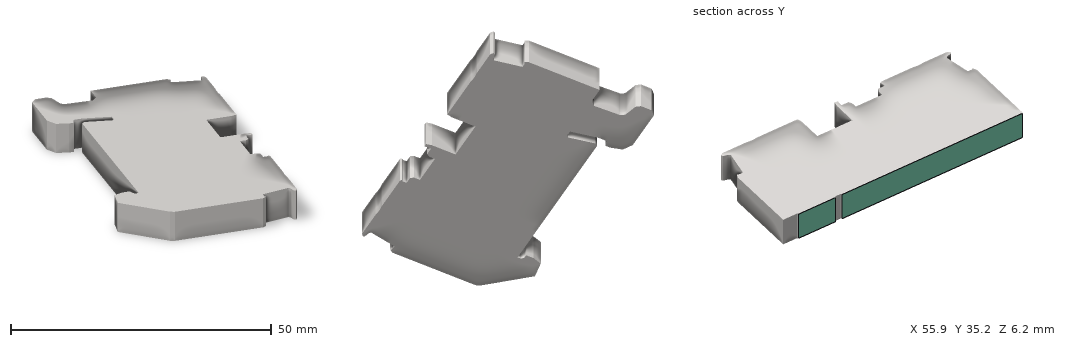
import cadquery as cq

LENGTH = 55.89
HEIGHT = 35.2
THICKNESS = 6.2
HALF = LENGTH / 2

SHOULDER_Y = 28.2
SHOULDER_CORNER_Y = SHOULDER_Y - 0.5
BUMP_HEIGHT = 0.25
BUMP_PEAK_X = HALF - 0.4
BUMP_INNER_X = HALF - 0.75
NECK_FOOT_X = 26.3
NECK_HEAD_X = 25.25
NECK_HEAD_Y = 33.8
NECK_CHAMFER = 0.3
HOOK_TIP_X = 26.85
HOOK_TIP_Y = 34.8
HOOK_UNDERSIDE_X = 26.7
HOOK_UNDERSIDE_Y = 34.4
HOOK_TOP_X = 26.3

DENT_X = 19.47
DENT_WIDTH = 2.6
DENT_DEPTH = 0.12

NOTCH_LEFT = -8.4
NOTCH_RIGHT = -0.22
NOTCH_FLOOR_Y = 28.95
NOTCH_TAPER_Y = HEIGHT - 1.1
NOTCH_TAPER_X = 0.25

POST_TOP_RIGHT = 0.72
POST_BASE_RIGHT = 0.62
STEP_Y = 33.8
STEP_RIGHT = 10.68
RECESS_LEFT = 2.65
RECESS_RIGHT = 8.8
RECESS_FLOOR_Y = 31.9
RECESS_CHAMFER_X = 0.42
RECESS_CHAMFER_Y = 0.65
LIP_OVERHANG = 0.22
LIP_TIP_Y = HEIGHT - 0.3
LIP_ROOT_Y = HEIGHT - 0.55

UNDERSIDE_Y = 5.95

RIGHT_WALL_END_Y = 9.7
SLOPE_TOP = (27.6, 8.85)
SLOPE_BOTTOM = (20.55, 0.7)
CLAW_TOE = (17.13, 1.25)
CLAW_X = 16.53
CLAW_BOTTOM_Y = 3.11
CLAW_TOP_Y = 4.65
CLAW_RELIEF = (17.2, 4.75)
RIGHT_SEAT_X = 17.78
RIGHT_SEAT_Y = 5.2

SLOT_MOUTH_RIGHT_X = -14.85
SLOT_MOUTH_CORNER = (-15.3, 6.55)
SLOT_TOP_CORNER = (-14.23, 11.9)
SLOT_TOP_RIGHT_X = -14.54
SLOT_TOP_LEFT_X = -15.75
SLOT_MOUTH_LEFT_X = -16.87
SLOT_MOUTH_LEFT_Y = 6.7

SHELF_Y = 12.3
LEFT_SEAT_Y = 4.9
BARB_X = -15.66
BARB_TOP_Y = 4.55
BARB_BOTTOM_Y = 3.6
FOOT_TOE = (-16.35, 1.15)
SOLE_RIGHT_X = -18.3
SOLE_CHAMFER = 1.0
FOOT_WALL_TOP_Y = 3.35
INSTEP_OUTER = (-27.29, 4.2)
INSTEP_INNER = (-24.9, 4.85)
INSTEP_ARC_MIDDLE = (-24.35, 5.2)
ANKLE_BOTTOM = (-24.02, 5.85)
ANKLE_TOP_X = -23.8
ANKLE_CHAMFER = 0.96


def top_end(side):
    """Points of one end of the top, from the side wall to the hook top; side is -1 or 1."""
    points = [
        (HALF, SHOULDER_CORNER_Y),
        (BUMP_PEAK_X, SHOULDER_Y + BUMP_HEIGHT),
        (BUMP_INNER_X, SHOULDER_Y),
        (NECK_FOOT_X, SHOULDER_Y),
        (NECK_HEAD_X, NECK_HEAD_Y),
        (NECK_HEAD_X + NECK_CHAMFER, NECK_HEAD_Y + NECK_CHAMFER),
        (HOOK_UNDERSIDE_X, HOOK_UNDERSIDE_Y),
        (HOOK_TIP_X, HOOK_TIP_Y),
        (HOOK_TOP_X, HEIGHT),
    ]
    return [(side * x, y) for x, y in points]


def top_middle():
    """Points of the notch, post and stepped recess, from left to right."""
    return [
        (NOTCH_LEFT - NOTCH_TAPER_X, HEIGHT),
        (NOTCH_LEFT, NOTCH_TAPER_Y),
        (NOTCH_LEFT, NOTCH_FLOOR_Y),
        (NOTCH_RIGHT, NOTCH_FLOOR_Y),
        (NOTCH_RIGHT, NOTCH_TAPER_Y),
        (NOTCH_RIGHT + NOTCH_TAPER_X, HEIGHT),
        (POST_TOP_RIGHT, HEIGHT),
        (POST_BASE_RIGHT, STEP_Y),
        (RECESS_LEFT - RECESS_CHAMFER_X, STEP_Y),
        (RECESS_LEFT, STEP_Y - RECESS_CHAMFER_Y),
        (RECESS_LEFT, RECESS_FLOOR_Y),
        (RECESS_RIGHT, RECESS_FLOOR_Y),
        (RECESS_RIGHT, STEP_Y - RECESS_CHAMFER_Y),
        (RECESS_RIGHT + RECESS_CHAMFER_X, STEP_Y),
        (STEP_RIGHT, STEP_Y),
        (STEP_RIGHT, LIP_ROOT_Y),
        (STEP_RIGHT - LIP_OVERHANG, LIP_TIP_Y),
        (STEP_RIGHT, HEIGHT),
    ]


def right_foot():
    """Points from the right side wall round the claw to the rail seat."""
    return [
        (HALF, RIGHT_WALL_END_Y),
        SLOPE_TOP,
        SLOPE_BOTTOM,
        CLAW_TOE,
        (CLAW_X, CLAW_BOTTOM_Y),
        (CLAW_X, CLAW_TOP_Y),
        CLAW_RELIEF,
        (RIGHT_SEAT_X, RIGHT_SEAT_Y),
        (RIGHT_SEAT_X, UNDERSIDE_Y),
    ]


def slot():
    """Points up the right side of the slot and down its left side."""
    return [
        (SLOT_MOUTH_RIGHT_X, UNDERSIDE_Y),
        SLOT_MOUTH_CORNER,
        SLOT_TOP_CORNER,
        (SLOT_TOP_RIGHT_X, SHELF_Y),
        (SLOT_TOP_LEFT_X, SHELF_Y),
        (SLOT_MOUTH_LEFT_X, SLOT_MOUTH_LEFT_Y),
    ]


def left_foot():
    """Points from the slot mouth round the sole to the start of the instep arc."""
    return [
        (SLOT_MOUTH_LEFT_X, LEFT_SEAT_Y),
        (BARB_X, BARB_TOP_Y),
        (BARB_X, BARB_BOTTOM_Y),
        FOOT_TOE,
        (SOLE_RIGHT_X, 0),
        (-HALF + SOLE_CHAMFER, 0),
        (-HALF, SOLE_CHAMFER),
        (-HALF, FOOT_WALL_TOP_Y),
        INSTEP_OUTER,
        INSTEP_INNER,
    ]


def housing():
    top = top_end(-1) + top_middle() + top_end(1)[::-1]
    return (
        cq.Workplane("XY")
        .polyline(top + right_foot() + slot() + left_foot())
        .threePointArc(INSTEP_ARC_MIDDLE, ANKLE_BOTTOM)
        .lineTo(ANKLE_TOP_X, SHELF_Y - ANKLE_CHAMFER)
        .lineTo(ANKLE_TOP_X - ANKLE_CHAMFER, SHELF_Y)
        .lineTo(-HALF, SHELF_Y)
        .close()
        .extrude(THICKNESS)
    )


def dent(center_x):
    """Cutter for a shallow arc-shaped dent in the top edge."""
    return (
        cq.Workplane("XY")
        .moveTo(center_x - DENT_WIDTH / 2, HEIGHT)
        .threePointArc((center_x, HEIGHT - DENT_DEPTH), (center_x + DENT_WIDTH / 2, HEIGHT))
        .close()
        .extrude(THICKNESS)
    )


result = housing()
for dent_x in (-DENT_X, DENT_X):
    result = result.cut(dent(dent_x))